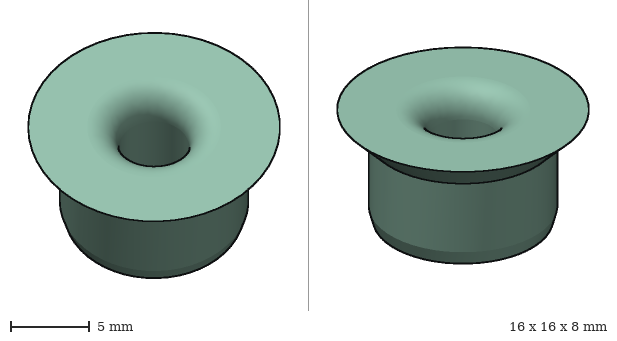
import cadquery as cq
import math

head_diameter = 16.0
body_diameter = 12.0
bore_diameter = 4.5
total_height = 8.0
mouth_radius = 2.0
lead_in_height = 1.0
lead_in_angle = 15.0

head_radius = head_diameter / 2
body_radius = body_diameter / 2

head_height = head_radius - body_radius
lead_in_radius = body_radius - lead_in_height * math.tan(math.radians(lead_in_angle))


def make_blank():
    """Solid of revolution: tapered end, cylindrical body and conical head."""
    return (
        cq.Workplane("XZ")
        .moveTo(0, 0)
        .lineTo(lead_in_radius, 0)
        .lineTo(body_radius, lead_in_height)
        .lineTo(body_radius, total_height - head_height)
        .lineTo(head_radius, total_height)
        .lineTo(0, total_height)
        .close()
        .revolve(360, (0, 0, 0), (0, 1, 0))
    )


def add_bore(blank):
    """Cut the through bore and round its mouth at the top face."""
    bored = blank.faces(">Z").workplane().hole(bore_diameter)
    mouth_edge = cq.selectors.RadiusNthSelector(0)
    return bored.faces(">Z").edges(mouth_edge).fillet(mouth_radius)


result = add_bore(make_blank())